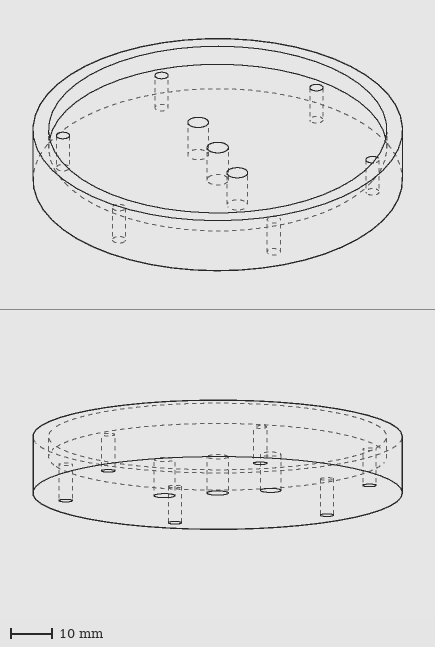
import cadquery as cq

outer_diameter = 89.8
height = 14.0
recess_diameter = 82.2
recess_depth = 5.0

screw_hole_diameter = 3.2
screw_circle_diameter = 76.15
screw_hole_count = 6

center_hole_diameter = 5.2
side_hole_diameter = 5.0
side_hole_offset = 13.3

dish = cq.Workplane("XY").circle(outer_diameter / 2).extrude(height)
dish = dish.faces(">Z").workplane().hole(recess_diameter, recess_depth)


def through_holes(diameter):
    """Return a function that makes one full-height hole cutter at a location."""
    cutter = cq.Workplane("XY").circle(diameter / 2).extrude(height).val()
    return lambda location: cutter.moved(location)


screw_holes = (
    cq.Workplane("XY")
    .polarArray(screw_circle_diameter / 2, 0, 360, screw_hole_count)
    .eachpoint(through_holes(screw_hole_diameter))
)
center_hole = cq.Workplane("XY").eachpoint(through_holes(center_hole_diameter))
side_holes = (
    cq.Workplane("XY")
    .pushPoints([(-side_hole_offset, 0), (side_hole_offset, 0)])
    .eachpoint(through_holes(side_hole_diameter))
)

result = dish.cut(screw_holes).cut(center_hole).cut(side_holes)